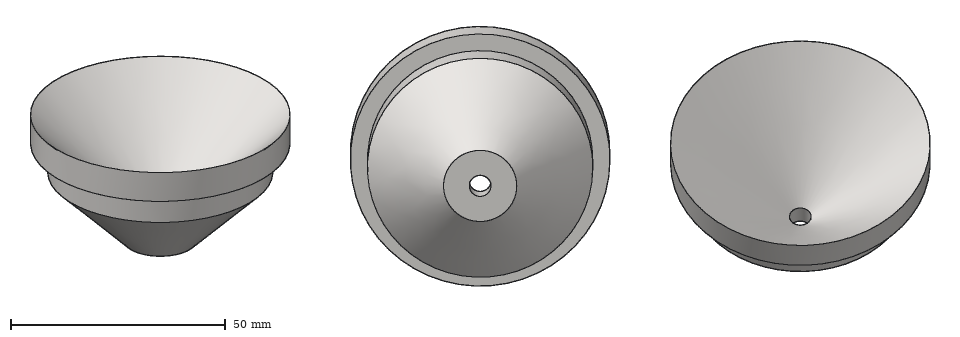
import cadquery as cq

flange_diameter = 60.5
body_diameter = 52.5
bore_diameter = 5.0

flange_height = 7.5
body_height = 7.5
cone_height = 17.7

body_bottom = cone_height
flange_bottom = body_bottom + body_height
top = flange_bottom + flange_height

flange_radius = flange_diameter / 2
body_radius = body_diameter / 2
bore_radius = bore_diameter / 2
tip_radius = body_radius - cone_height
bore_top = top - (flange_radius - bore_radius)

half_section = (
    cq.Workplane("XZ")
    .moveTo(bore_radius, 0)
    .lineTo(tip_radius, 0)
    .lineTo(body_radius, body_bottom)
    .lineTo(body_radius, flange_bottom)
    .lineTo(flange_radius, flange_bottom)
    .lineTo(flange_radius, top)
    .lineTo(bore_radius, bore_top)
    .close()
)

result = half_section.revolve(360, (0, 0, 0), (0, 1, 0))